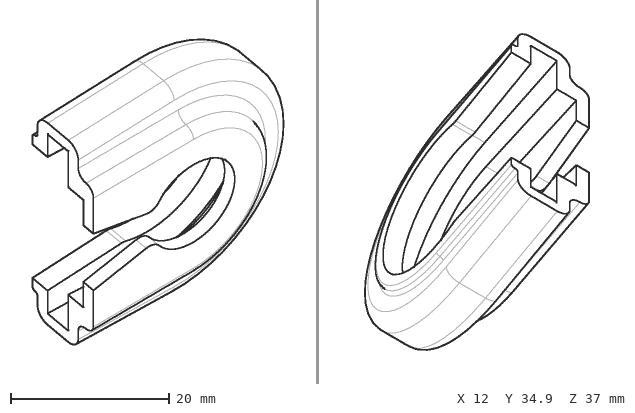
import cadquery as cq
import math

WIDTH = 12.0
LIP_HEIGHT = 1.0
BOSS_HEIGHT = 3.0
WALL = 2.0
x_left = -WIDTH / 2
x_right = WIDTH / 2
rim_left = x_left + LIP_HEIGHT
rim_right = x_right - BOSS_HEIGHT
cavity_left = rim_left + WALL
cavity_right = rim_right - WALL
pocket_floor = x_right - WALL

RIM_RADIUS = 18.48
OPEN_END = 16.45
RIM_TAPER = 2.3
LIP_RADIUS = 13.75
BOSS_RADIUS = 12.85
POCKET_RADIUS = 10.83
POCKET_TAPER = 4.8
MOUTH_RADIUS = 11.7
MOUTH_NECK_DISTANCE = 3.88
MOUTH_END_HALF_HEIGHT = 11.8
MOUTH_CORNER_RADIUS = 2.0
HOLE_RADIUS = 6.85
SLOT_END_HALF_HEIGHT = 5.0
SLOT_FLARE = 12.7
SLOT_CORNER_RADIUS = 2.0


def side_plane(x):
    """Sketch plane at X = x, with sketch axes along Y and Z."""
    return cq.Workplane("YZ", origin=(x, 0, 0))


def tapered_u(radius, taper, x_start, x_end):
    """Half-round block whose tangent legs converge towards the open end."""
    angle = math.radians(taper)
    tangent_y = -radius * math.sin(angle)
    tangent_z = radius * math.cos(angle)
    end_z = (radius - OPEN_END * math.sin(angle)) / math.cos(angle)
    return (
        side_plane(x_start)
        .moveTo(-OPEN_END, -end_z)
        .lineTo(tangent_y, -tangent_z)
        .threePointArc((radius, 0), (tangent_y, tangent_z))
        .lineTo(-OPEN_END, end_z)
        .close()
        .extrude(x_end - x_start)
    )


def raised_step(radius, x_base, x_top):
    """Parallel-sided step with an S-curved flank of two equal quarter arcs."""
    flank_radius = abs(x_top - x_base) / 2
    x_middle = (x_base + x_top) / 2
    bulge = flank_radius * math.sqrt(0.5)
    bulge_x = math.copysign(bulge, x_top - x_base)
    foot = (x_base, radius + flank_radius)
    foot_middle = (x_middle - bulge_x, radius + flank_radius - bulge)
    crest_middle = (x_middle + bulge_x, radius - flank_radius + bulge)
    crest = (x_top, radius - flank_radius)

    def half_section(plane):
        return (
            cq.Workplane(plane)
            .moveTo(x_base, 0)
            .lineTo(*foot)
            .threePointArc(foot_middle, (x_middle, radius))
            .threePointArc(crest_middle, crest)
            .lineTo(x_top, 0)
            .close()
        )

    bend = half_section("XY").revolve(360, (0, 0, 0), (1, 0, 0))
    upper_leg = half_section("XZ").extrude(OPEN_END)
    lower_leg = upper_leg.mirror("XY")
    return bend.union(upper_leg).union(lower_leg)


def mouth():
    """Opening through the lip, narrowest at a rounded neck before the legs."""
    neck_z = math.sqrt(MOUTH_RADIUS**2 - MOUTH_NECK_DISTANCE**2)
    neck_corners = cq.selectors.BoxSelector(
        (x_left, -MOUTH_RADIUS, -MOUTH_RADIUS), (cavity_left, 0, MOUTH_RADIUS)
    )
    return (
        side_plane(x_left)
        .moveTo(-OPEN_END, -MOUTH_END_HALF_HEIGHT)
        .lineTo(-MOUTH_NECK_DISTANCE, -neck_z)
        .threePointArc((MOUTH_RADIUS, 0), (-MOUTH_NECK_DISTANCE, neck_z))
        .lineTo(-OPEN_END, MOUTH_END_HALF_HEIGHT)
        .close()
        .extrude(cavity_left - x_left)
        .edges("|X")
        .edges(neck_corners)
        .fillet(MOUTH_CORNER_RADIUS)
    )


def keyhole():
    """Round hole joined to a flared slot, with rounded corners between them."""
    flare = math.tan(math.radians(SLOT_FLARE))
    apex_y = SLOT_END_HALF_HEIGHT / flare - OPEN_END
    depth = x_right - pocket_floor
    hole = side_plane(pocket_floor).circle(HOLE_RADIUS).extrude(depth)
    slot = (
        side_plane(pocket_floor)
        .moveTo(apex_y, 0)
        .lineTo(-OPEN_END, SLOT_END_HALF_HEIGHT)
        .lineTo(-OPEN_END, -SLOT_END_HALF_HEIGHT)
        .close()
        .extrude(depth)
    )
    neck_corners = cq.selectors.BoxSelector(
        (pocket_floor, -HOLE_RADIUS, -HOLE_RADIUS), (x_right, 0, HOLE_RADIUS)
    )
    return hole.union(slot).edges("|X").edges(neck_corners).fillet(SLOT_CORNER_RADIUS)


rim = tapered_u(RIM_RADIUS, RIM_TAPER, rim_left, rim_right)
rim = rim.faces("<X or >X").edges("not <Y").fillet(WALL)
body = rim.union(raised_step(LIP_RADIUS, rim_left, x_left))
body = body.union(raised_step(BOSS_RADIUS, rim_right, x_right))

result = (
    body.cut(mouth())
    .cut(tapered_u(RIM_RADIUS - WALL, RIM_TAPER, cavity_left, cavity_right))
    .cut(tapered_u(POCKET_RADIUS, POCKET_TAPER, cavity_right, pocket_floor))
    .cut(keyhole())
)